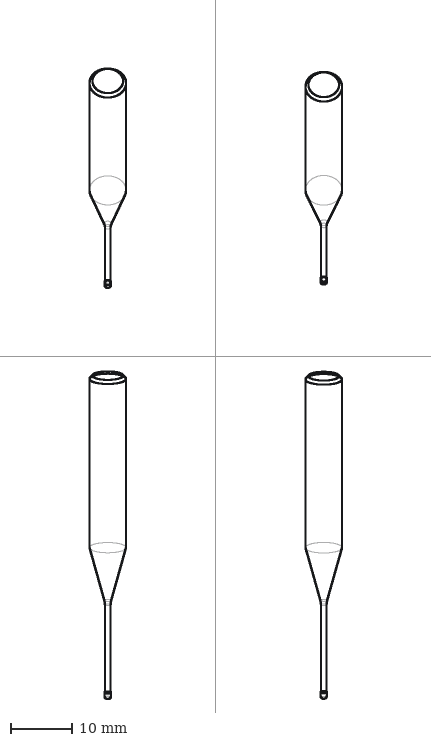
import cadquery as cq

total_length = 55.0
shank_diameter = 6.0
shank_chamfer_width = 0.5
shank_chamfer_height = 0.55
shank_bottom = 25.75
cone_end_diameter = 1.15
cone_bottom = 16.8
neck_diameter = 0.95
neck_top = 16.0
cutter_diameter = 1.1
cutter_top = 1.1

shank_radius = shank_diameter / 2
neck_radius = neck_diameter / 2
cutter_radius = cutter_diameter / 2


def make_holder():
    """Chamfered shank, long cone, short cone and slender neck."""
    return (
        cq.Workplane("XZ")
        .moveTo(0, cutter_top)
        .lineTo(neck_radius, cutter_top)
        .lineTo(neck_radius, neck_top)
        .lineTo(cone_end_diameter / 2, cone_bottom)
        .lineTo(shank_radius, shank_bottom)
        .lineTo(shank_radius, total_length - shank_chamfer_height)
        .lineTo(shank_radius - shank_chamfer_width, total_length)
        .lineTo(0, total_length)
        .close()
        .revolve(360, (0, 0, 0), (0, 1, 0))
    )


def make_cutting_head():
    """Short cylinder with a hemispherical end, butted against the neck."""
    return (
        cq.Workplane("XZ")
        .moveTo(0, 0)
        .radiusArc((cutter_radius, cutter_radius), -cutter_radius)
        .lineTo(cutter_radius, cutter_top)
        .lineTo(0, cutter_top)
        .close()
        .revolve(360, (0, 0, 0), (0, 1, 0))
    )


holder = make_holder()
cutting_head = make_cutting_head()

result = cq.Compound.makeCompound([holder.val(), cutting_head.val()])